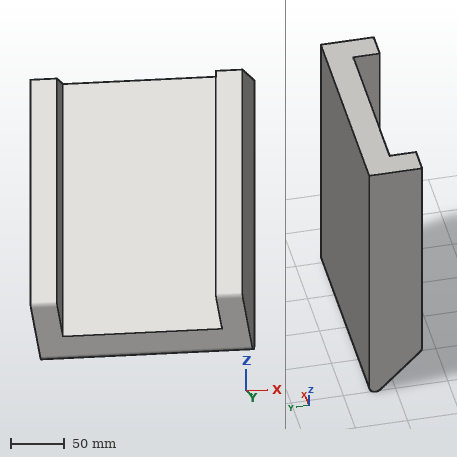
import cadquery as cq
import math

width = 203.0
depth = 50.8
height = 257.7

wall = depth / 2

slope_angle = 45.0
tip_radius = 6.2
shoulder_radius = tip_radius

front_y = -depth / 2
back_y = depth / 2
slope = math.radians(slope_angle)


def side_profile():
    """Side outline in the YZ plane, with its lower end cut to a rounded wedge."""
    tip_y = back_y - tip_radius
    tip_z = tip_radius
    slope_start_y = tip_y - tip_radius * math.sin(slope)
    slope_start_z = tip_z - tip_radius * math.cos(slope)
    corner_z = slope_start_z + (slope_start_y - front_y) * math.tan(slope)

    mid_turn = (math.pi / 2 - slope) / 2
    setback = shoulder_radius * math.tan(mid_turn)
    slope_end_y = front_y + setback * math.cos(slope)
    slope_end_z = corner_z - setback * math.sin(slope)
    shoulder_mid_y = front_y + shoulder_radius * (1 - math.cos(mid_turn))
    shoulder_mid_z = corner_z + setback - shoulder_radius * math.sin(mid_turn)

    return (
        cq.Workplane("YZ", origin=(-width / 2, 0, 0))
        .moveTo(back_y, height)
        .lineTo(back_y, tip_z)
        .threePointArc((tip_y, 0), (slope_start_y, slope_start_z))
        .lineTo(slope_end_y, slope_end_z)
        .threePointArc((shoulder_mid_y, shoulder_mid_z), (front_y, corner_z + setback))
        .lineTo(front_y, height)
        .close()
    )


body = side_profile().extrude(width)

channel = cq.Workplane("XY").box(
    width - 2 * wall, depth - wall, height, centered=(True, False, False)
).translate((0, front_y, 0))

result = body.cut(channel)